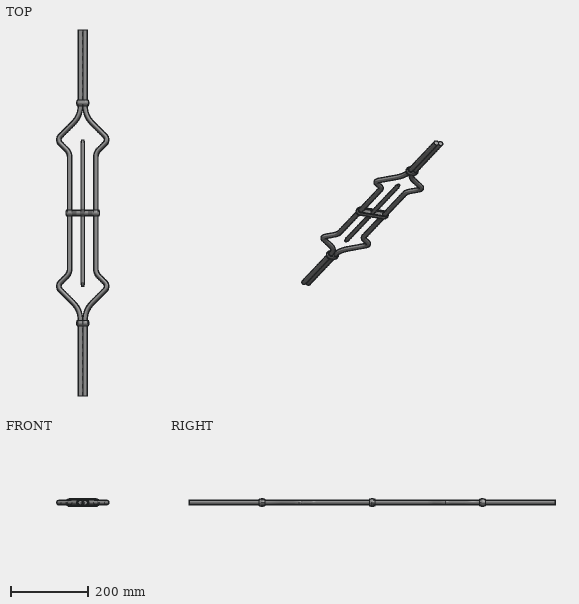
import cadquery as cq
import math

ROD_DIAMETER = 12.0
ROD_HALF_LENGTH = 475.0
ROD_END_X = ROD_DIAMETER / 2
ROD_MIDDLE_X = 34.0
ROD_WIDEST_X = 61.945
ELBOW_Y = 190.0
BEND_ANGLE = math.radians(45)
END_BEND_RADIUS = 61.5
ELBOW_RADIUS = 14.0
MIDDLE_BEND_RADIUS = 26.0

PIN_DIAMETER = 10.0
PIN_TIP_DIAMETER = 6.0
PIN_HALF_LENGTH = 190.0
PIN_TIP_LENGTH = 10.0

BAND_HEIGHT = 20.0
BAND_WIDTH = 15.0
BAND_CROWN_RADIUS = 17.0
END_BAND_Y = 285.7
WEB_WIDTH = 5.0


def side_rod(side):
    """One bent rod; side is +1 for the +X rod and -1 for the -X rod."""
    sine = math.sin(BEND_ANGLE)
    rise = 1 - math.cos(BEND_ANGLE)
    half_sine = math.sin(BEND_ANGLE / 2)
    half_rise = 1 - math.cos(BEND_ANGLE / 2)

    elbow_x = ROD_WIDEST_X - ELBOW_RADIUS * rise
    elbow_top_y = ELBOW_Y + ELBOW_RADIUS * sine
    elbow_low_y = ELBOW_Y - ELBOW_RADIUS * sine

    end_bend_x = ROD_END_X + END_BEND_RADIUS * rise
    end_bend_low_y = elbow_top_y + elbow_x - end_bend_x
    end_bend_top_y = end_bend_low_y + END_BEND_RADIUS * sine
    end_bend_mid = (ROD_END_X + END_BEND_RADIUS * half_rise, end_bend_top_y - END_BEND_RADIUS * half_sine)

    middle_bend_x = ROD_MIDDLE_X + MIDDLE_BEND_RADIUS * rise
    middle_bend_top_y = elbow_low_y - elbow_x + middle_bend_x
    middle_bend_low_y = middle_bend_top_y - MIDDLE_BEND_RADIUS * sine
    middle_bend_mid = (
        ROD_MIDDLE_X + MIDDLE_BEND_RADIUS * half_rise,
        middle_bend_low_y + MIDDLE_BEND_RADIUS * half_sine,
    )

    def at(x, y):
        return (side * x, y)

    path = (
        cq.Workplane("XY")
        .moveTo(*at(ROD_END_X, ROD_HALF_LENGTH))
        .lineTo(*at(ROD_END_X, end_bend_top_y))
        .threePointArc(at(*end_bend_mid), at(end_bend_x, end_bend_low_y))
        .lineTo(*at(elbow_x, elbow_top_y))
        .threePointArc(at(ROD_WIDEST_X, ELBOW_Y), at(elbow_x, elbow_low_y))
        .lineTo(*at(middle_bend_x, middle_bend_top_y))
        .threePointArc(at(*middle_bend_mid), at(ROD_MIDDLE_X, middle_bend_low_y))
        .lineTo(*at(ROD_MIDDLE_X, -middle_bend_low_y))
        .threePointArc(at(middle_bend_mid[0], -middle_bend_mid[1]), at(middle_bend_x, -middle_bend_top_y))
        .lineTo(*at(elbow_x, -elbow_low_y))
        .threePointArc(at(ROD_WIDEST_X, -ELBOW_Y), at(elbow_x, -elbow_top_y))
        .lineTo(*at(end_bend_x, -end_bend_low_y))
        .threePointArc(at(end_bend_mid[0], -end_bend_mid[1]), at(ROD_END_X, -end_bend_top_y))
        .lineTo(*at(ROD_END_X, -ROD_HALF_LENGTH))
    )
    profile = cq.Workplane("XZ", origin=(side * ROD_END_X, ROD_HALF_LENGTH, 0)).circle(ROD_DIAMETER / 2)
    return profile.sweep(path)


def centre_pin():
    """Straight rod along Y, turned from its half outline."""
    shoulder_y = PIN_HALF_LENGTH - PIN_TIP_LENGTH
    return (
        cq.Workplane("XY")
        .moveTo(0, -PIN_HALF_LENGTH)
        .lineTo(PIN_TIP_DIAMETER / 2, -PIN_HALF_LENGTH)
        .lineTo(PIN_DIAMETER / 2, -shoulder_y)
        .lineTo(PIN_DIAMETER / 2, shoulder_y)
        .lineTo(PIN_TIP_DIAMETER / 2, PIN_HALF_LENGTH)
        .lineTo(0, PIN_HALF_LENGTH)
        .close()
        .revolve(360, (0, 0, 0), (0, 1, 0))
    )


def barrelled_block(rod_x):
    """Solid with round ends about the axes X = +-rod_x and a crowned outside all round."""
    crown_sag = BAND_CROWN_RADIUS - math.sqrt(BAND_CROWN_RADIUS**2 - (BAND_WIDTH / 2) ** 2)
    crown_height = BAND_HEIGHT / 2
    edge_height = crown_height - crown_sag
    half_width = BAND_WIDTH / 2

    end = (
        cq.Workplane("XY")
        .moveTo(0, -half_width)
        .lineTo(edge_height, -half_width)
        .threePointArc((crown_height, 0), (edge_height, half_width))
        .lineTo(0, half_width)
        .close()
        .revolve(360, (0, 0, 0), (0, 1, 0))
    )
    middle = (
        cq.Workplane("YZ", origin=(-rod_x, 0, 0))
        .moveTo(-half_width, -edge_height)
        .lineTo(-half_width, edge_height)
        .threePointArc((0, crown_height), (half_width, edge_height))
        .lineTo(half_width, -edge_height)
        .threePointArc((0, -crown_height), (-half_width, -edge_height))
        .close()
        .extrude(2 * rod_x)
    )
    return middle.union(end.translate((-rod_x, 0, 0))).union(end.translate((rod_x, 0, 0)))


def bore(x, diameter):
    """Round cutter along Y through a band."""
    return cq.Workplane("XZ", origin=(x, 0, 0)).circle(diameter / 2).extrude(BAND_WIDTH, both=True)


def end_band(y):
    """Band that holds the touching ends of the two side rods."""
    block = barrelled_block(ROD_END_X)
    for side in (-1, 1):
        block = block.cut(bore(side * ROD_END_X, ROD_DIAMETER))
    return block.translate((0, y, 0))


def band_recess(face):
    """Cutter for the recess between the side rods; face is +1 or -1 for the +Y or -Y face."""
    depth = (BAND_WIDTH - WEB_WIDTH) / 2
    recess_y = (WEB_WIDTH + depth) / 2
    return cq.Workplane("XY").box(2 * ROD_MIDDLE_X, depth, ROD_DIAMETER).translate((0, face * recess_y, 0))


def middle_band():
    """Band that ties the side rods and the centre pin together, recessed to a central web."""
    block = barrelled_block(ROD_MIDDLE_X)
    for side in (-1, 1):
        block = block.cut(bore(side * ROD_MIDDLE_X, ROD_DIAMETER))
        block = block.cut(band_recess(side))
    return block.cut(bore(0, PIN_DIAMETER))


side_rods = [side_rod(side) for side in (-1, 1)]
end_bands = [end_band(y) for y in (-END_BAND_Y, END_BAND_Y)]
bodies = [*side_rods, centre_pin(), *end_bands, middle_band()]

result = cq.Compound.makeCompound([body.val() for body in bodies])